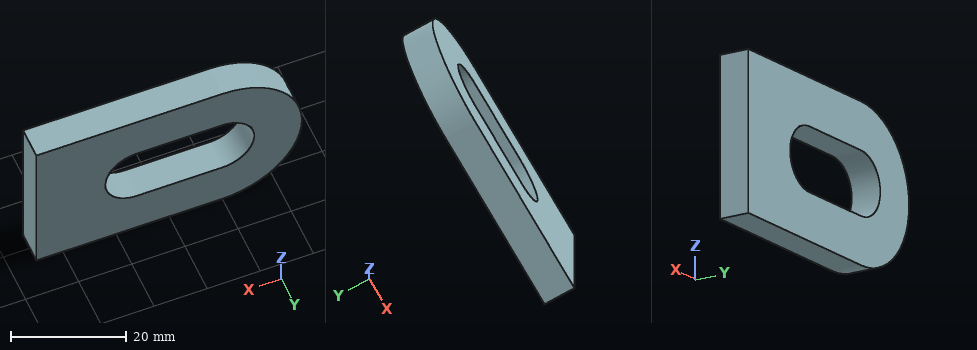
import cadquery as cq

length = 50
thickness = 6
height = 30
end_radius = height / 2

slot_width = 12
slot_travel = 16

square_end_x = length - end_radius

plate = (
    cq.Workplane("XZ")
    .moveTo(0, end_radius)
    .lineTo(square_end_x, end_radius)
    .lineTo(square_end_x, -end_radius)
    .lineTo(0, -end_radius)
    .threePointArc((-end_radius, 0), (0, end_radius))
    .close()
    .extrude(thickness)
)

slot = (
    cq.Workplane("XZ")
    .center(slot_travel / 2, 0)
    .slot2D(slot_travel + slot_width, slot_width)
    .extrude(thickness)
)

result = plate.cut(slot)